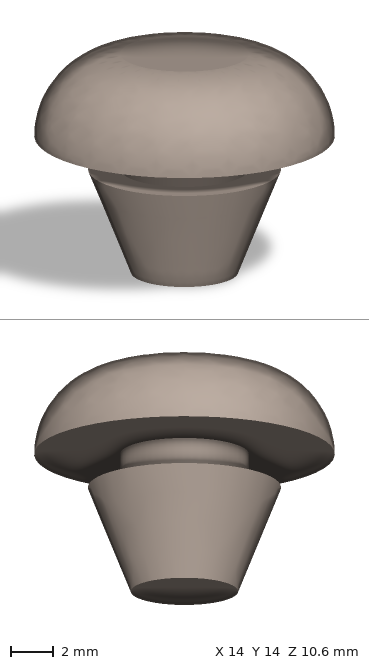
import cadquery as cq
import math


TIP_RADIUS = 2.5
BARB_RADIUS = 4.5
NECK_RADIUS = 3.0
HEAD_RADIUS = 7.0
HEAD_FLAT_RADIUS = 3.0
PLUG_HEIGHT = 5.0
NECK_HEIGHT = 1.6

RIM_RADIUS = HEAD_RADIUS - HEAD_FLAT_RADIUS

BARB_Z = PLUG_HEIGHT
HEAD_BOTTOM_Z = BARB_Z + NECK_HEIGHT
HEAD_TOP_Z = HEAD_BOTTOM_Z + RIM_RADIUS


def half_profile():
    """Closed outline of one half of the section, in the XZ plane."""
    rim_offset = RIM_RADIUS * math.sqrt(0.5)
    rim_middle = (HEAD_FLAT_RADIUS + rim_offset, HEAD_BOTTOM_Z + rim_offset)
    return (
        cq.Workplane("XZ")
        .moveTo(0, 0)
        .lineTo(TIP_RADIUS, 0)
        .lineTo(BARB_RADIUS, BARB_Z)
        .lineTo(NECK_RADIUS, BARB_Z)
        .lineTo(NECK_RADIUS, HEAD_BOTTOM_Z)
        .lineTo(HEAD_RADIUS, HEAD_BOTTOM_Z)
        .threePointArc(rim_middle, (HEAD_FLAT_RADIUS, HEAD_TOP_Z))
        .lineTo(0, HEAD_TOP_Z)
        .close()
    )


result = half_profile().revolve(360, (0, 0, 0), (0, 1, 0))